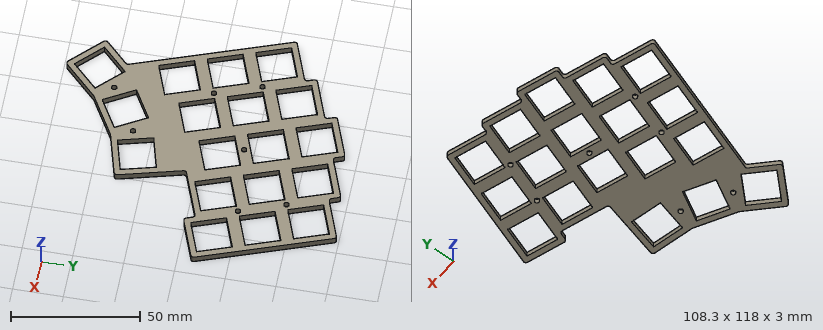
import cadquery as cq
import math


thickness = 3.0
matrix_width = 95.2
column_count = 5
row_count = 3
key_pitch = matrix_width / column_count
half_cell = key_pitch / 2
key_opening = 14.0
screw_diameter = 2.0
corner_radius = 1.2

matrix_tilt = 20.0
matrix_centre = (-3.2, 25.3)
stagger = key_pitch / 4
middle_column = column_count // 2
last_column = column_count - 1
matrix_half_height = row_count * key_pitch / 2

thumb_pivot = (31.4, -105.5)
thumb_radius = 84.3
thumb_step = 15.0
thumb_angles = [thumb_step, 2 * thumb_step, 3 * thumb_step]


def offset_point(origin, angle, along, across):
    """Point reached from origin by moving along and across a frame turned by angle degrees."""
    turn = math.radians(angle)
    x = origin[0] + along * math.cos(turn) - across * math.sin(turn)
    y = origin[1] + along * math.sin(turn) + across * math.cos(turn)
    return (x, y)


def matrix_point(along, across):
    return offset_point(matrix_centre, matrix_tilt, along, across)


def thumb_point(angle, along=0.0, across=0.0):
    """Point in the frame of the thumb key that stands at the given fan angle."""
    return offset_point(thumb_pivot, angle, along, thumb_radius + across)


def crossing(point_a, angle_a, point_b, angle_b):
    """Crossing of two lines, each given by a point and a direction in degrees."""
    a = math.radians(angle_a)
    b = math.radians(angle_b)
    gap_x = point_b[0] - point_a[0]
    gap_y = point_b[1] - point_a[1]
    reach = (gap_x * math.sin(b) - gap_y * math.cos(b)) / math.sin(b - a)
    return (point_a[0] + reach * math.cos(a), point_a[1] + reach * math.sin(a))


def column_x(column):
    return (column - middle_column) * key_pitch


def column_drop(column):
    """Each column sits one stagger lower than its neighbour nearer the middle."""
    return abs(column - middle_column) * stagger


def column_top(column):
    return matrix_half_height - column_drop(column)


def column_bottom(column):
    return -matrix_half_height - column_drop(column)


def plate_outline():
    """Corners of the plate, clockwise from the top left of the matrix."""
    points = []

    for column in range(column_count):
        for side in (-half_cell, half_cell):
            points.append(matrix_point(column_x(column) + side, column_top(column)))

    step_x = column_x(last_column) - half_cell
    points.append(matrix_point(column_x(last_column) + half_cell, column_bottom(last_column)))
    points.append(matrix_point(step_x, column_bottom(last_column)))
    fourth_bottom = matrix_point(step_x, column_bottom(last_column - 1))
    points.append(fourth_bottom)

    inner, middle, outer = thumb_angles
    inner_corner = thumb_point(inner, half_cell, -half_cell)
    outer_corner = thumb_point(outer, -half_cell, -half_cell)
    middle_edge = thumb_point(middle, 0, -half_cell)
    points.append(crossing(fourth_bottom, matrix_tilt, inner_corner, inner + 90))
    points.append(inner_corner)
    points.append(crossing(inner_corner, inner, middle_edge, middle))
    points.append(crossing(middle_edge, middle, outer_corner, outer))
    points.append(outer_corner)
    outer_top = thumb_point(outer, -half_cell, half_cell)
    points.append(outer_top)
    points.append(crossing(outer_top, outer, points[0], matrix_tilt + 90))
    return points


def key_cutter(centre, angle):
    cutter = cq.Workplane("XY").rect(key_opening, key_opening).extrude(thickness)
    return cutter.rotate((0, 0, 0), (0, 0, 1), angle).translate((centre[0], centre[1], 0))


def screw_positions():
    """One screw in the middle column, four between the outer column pairs, two between thumb keys."""
    points = [matrix_point(0, -half_cell)]
    for edge_column, neighbour in ((0, 1), (last_column, last_column - 1)):
        between_columns = (column_x(edge_column) + column_x(neighbour)) / 2
        mean_drop = (column_drop(edge_column) + column_drop(neighbour)) / 2
        for row_gap in (-half_cell, half_cell):
            points.append(matrix_point(between_columns, row_gap - mean_drop))
    for angle in thumb_angles[:-1]:
        points.append(thumb_point(angle + thumb_step / 2))
    return points


plate = cq.Workplane("XY").polyline(plate_outline()).close().extrude(thickness)
plate = plate.edges("|Z").fillet(corner_radius)

for column in range(column_count):
    for row in range(row_count):
        across = column_top(column) - (row + 0.5) * key_pitch
        plate = plate.cut(key_cutter(matrix_point(column_x(column), across), matrix_tilt))

for angle in thumb_angles:
    plate = plate.cut(key_cutter(thumb_point(angle), angle))

screws = cq.Workplane("XY").pushPoints(screw_positions()).circle(screw_diameter / 2).extrude(thickness)
result = plate.cut(screws)